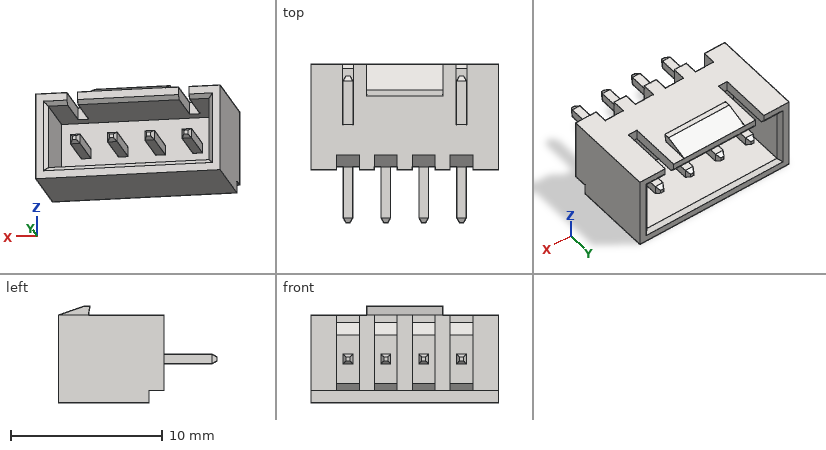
import cadquery as cq


pin_count = 4
pitch = 2.5
pin_size = 0.64
pin_tip_size = 0.26
pin_tip_length = 0.34
pin_reach = 3.5
pin_back_gap = 0.78
pin_z = 2.9

end_margin = 2.45
pin_span = (pin_count - 1) * pitch
width = pin_span + 2 * end_margin
depth = 7.0
height = 5.8
step_depth = 1.0
step_height = 0.8

wall = 0.8
cavity_depth = 5.0
lead_in = 0.28

recess_width = 1.5
recess_shallow = 0.2
recess_deep = step_depth
bevel_height = 0.83
plateau_height = 3.2
plateau_z = 2.87

latch_width = 5.04
latch_height = 0.59
latch_peak = 1.7
latch_length = 2.1
latch_undercut = 0.1
slot_width = 0.7
slot_length = 4.0


def block(x_size, y_start, y_end, z_start, z_end, x_center=0):
    """Axis-aligned block, centred on x_center along X."""
    return cq.Workplane("XY").box(
        x_size, y_end - y_start, z_end - z_start, centered=(True, False, False)
    ).translate((x_center, y_start, z_start))


def side_profile(points, x_size, x_center=0):
    """Extrude a (y, z) outline along X, centred on x_center."""
    profile = cq.Workplane("YZ").polyline(points).close()
    return profile.extrude(x_size / 2, both=True).translate((x_center, 0, 0))


def make_housing():
    body = block(width, 0, depth, 0, height)
    return body.cut(block(width, 0, step_depth, 0, step_height))


def make_cavity():
    """Rectangular mating cavity that widens at its mouth."""
    cavity_width = width - 2 * wall
    cavity_height = height - 2 * wall
    cavity = block(cavity_width, depth - cavity_depth, depth, wall, height - wall)
    mouth = (
        cq.Workplane("XZ", origin=(0, depth, height / 2))
        .rect(cavity_width + 2 * lead_in, cavity_height + 2 * lead_in)
        .workplane(offset=lead_in)
        .rect(cavity_width, cavity_height)
        .loft(ruled=True)
    )
    return cavity.union(mouth)


def make_recess(x_center):
    """Recess that is shallow beside the pin and bevels deeper above and below."""
    plateau_top = plateau_z + plateau_height / 2
    plateau_bottom = plateau_z - plateau_height / 2
    outline = [
        (0, 0),
        (0, height),
        (recess_deep, height),
        (recess_deep, plateau_top + bevel_height),
        (recess_shallow, plateau_top),
        (recess_shallow, plateau_bottom),
        (recess_deep, plateau_bottom - bevel_height),
        (recess_deep, 0),
    ]
    return side_profile(outline, recess_width, x_center)


def make_latch():
    """Ramp on the top wall with an undercut catch face."""
    outline = [
        (depth, height),
        (depth - latch_peak, height + latch_height),
        (depth - latch_length, height + latch_height),
        (depth - latch_length + latch_undercut, height),
    ]
    return side_profile(outline, latch_width)


def make_slot(x_center):
    """Slot through the top wall into the cavity, open at the mating face."""
    return block(slot_width, depth - slot_length, depth, height / 2, height, x_center)


def make_pin(x_center):
    """Square pin along Y, tapered at both ends."""
    front_shoulder = pin_tip_length - pin_reach
    back_shoulder = depth - pin_back_gap - pin_tip_length
    half = pin_size / 2
    shaft = block(pin_size, front_shoulder, back_shoulder, pin_z - half, pin_z + half, x_center)
    for shoulder, direction in ((front_shoulder, 1), (back_shoulder, -1)):
        tip = (
            cq.Workplane("XZ", origin=(x_center, shoulder, pin_z))
            .rect(pin_size, pin_size)
            .workplane(offset=direction * pin_tip_length)
            .rect(pin_tip_size, pin_tip_size)
            .loft(ruled=True)
        )
        shaft = shaft.union(tip)
    return shaft


pin_positions = [i * pitch - pin_span / 2 for i in range(pin_count)]

result = make_housing().cut(make_cavity()).union(make_latch())
for slot_x in (pin_positions[0], pin_positions[-1]):
    result = result.cut(make_slot(slot_x))
for pin_x in pin_positions:
    result = result.cut(make_recess(pin_x)).union(make_pin(pin_x))